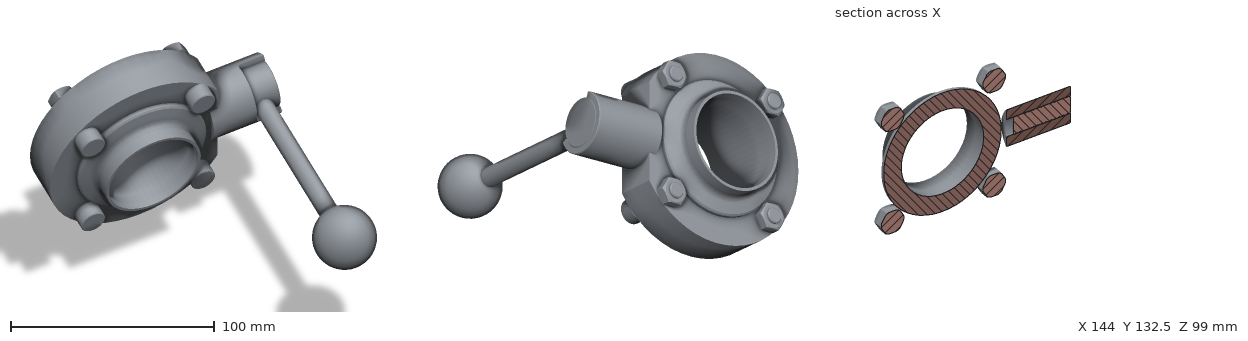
import cadquery as cq
import math


HALF_LENGTH = 25.9
BORE_DIAMETER = 48.5
PIPE_DIAMETER = 51.5
JOINT_X = -0.3
FLANGE_DIAMETER = 99.0
FLANGE_SPAN = 22.3
FLANGE_FACE = FLANGE_SPAN / 2
FLAT_Y = 42.0

RING_DIAMETER = 70.0
RING_OUT = 14.1
RING_CHAMFER = 0.9
CONE_ANGLE = 15.0
NECK_FILLET = 3.0

BOLT_DIAMETER = 8.0
BOLT_TIP = 18.9
BOLT_TIP_CHAMFER = 0.6
HEAD_DIAMETER = 13.0
HEAD_OUT = 19.0
HEAD_CHAMFER = 0.5
NUT_FLATS = 13.0
NUT_CORNERS = NUT_FLATS / math.cos(math.pi / 6)
NUT_OUT = 17.4
NUT_FACE_DIAMETER = 12.0
NUT_CHAMFER_ANGLE = 30.0
HUB_SIDE_BOLT = 30.7
FAR_BOLT_Y = 29.5
FAR_BOLT_Z = 30.1
BOLT_PLACES = [
    (HUB_SIDE_BOLT, HUB_SIDE_BOLT),
    (HUB_SIDE_BOLT, -HUB_SIDE_BOLT),
    (-FAR_BOLT_Y, FAR_BOLT_Z),
    (-FAR_BOLT_Y, -FAR_BOLT_Z),
]

HUB_DIAMETER = 32.0
HUB_BOTTOM = 37.9
HUB_TOP = 76.0
TOP_CHAMFER = 0.5
WINDOW_FLOOR = 61.5
WINDOW_CORNER = 1.9
WINDOW_MARGIN = 23.2

CORE_DIAMETER = 25.3
ROD_DIAMETER = 10.0
LEVER_Y = 67.0
BALL_DIAMETER = 32.0
BALL_X = 102.1


def cylinder_x(diameter, start_x, end_x, y=0, z=0):
    """Cylinder parallel to the X axis between two X positions."""
    disc = cq.Workplane("YZ", origin=(start_x, y, z)).circle(diameter / 2)
    return disc.extrude(end_x - start_x)


def cylinder_y(diameter, start_y, end_y):
    """Cylinder about the Y axis between two Y positions."""
    disc = cq.Workplane("XZ", origin=(0, start_y, 0)).circle(diameter / 2)
    return disc.extrude(start_y - end_y)


def make_flange(joint_x):
    """Flange on the +X side of joint_x, with its ring, pipe end and flat."""
    pipe_radius = PIPE_DIAMETER / 2
    ring_radius = RING_DIAMETER / 2
    cone_radius = ring_radius - RING_CHAMFER
    neck_x = RING_OUT + (cone_radius - pipe_radius) * math.tan(math.radians(CONE_ANGLE))
    profile = [
        (joint_x, BORE_DIAMETER / 2),
        (HALF_LENGTH, BORE_DIAMETER / 2),
        (HALF_LENGTH, pipe_radius),
        (neck_x, pipe_radius),
        (RING_OUT, cone_radius),
        (RING_OUT - RING_CHAMFER, ring_radius),
        (FLANGE_FACE, ring_radius),
        (FLANGE_FACE, FLANGE_DIAMETER / 2),
        (joint_x, FLANGE_DIAMETER / 2),
    ]
    flange = cq.Workplane("XY").polyline(profile).close().revolve(360, (0, 0, 0), (1, 0, 0))
    neck_circle = cq.selectors.NearestToPointSelector((neck_x, 0, 0))
    flange = flange.edges(neck_circle).fillet(NECK_FILLET)
    above_flat = cq.Workplane("XY").box(
        FLANGE_SPAN, FLANGE_DIAMETER, FLANGE_DIAMETER, centered=(True, False, True)
    )
    return flange.cut(above_flat.translate((0, FLAT_Y, 0)))


def make_nut(y, z):
    """Hexagonal nut against the -X flange face, its corners chamfered at both ends."""
    hexagon = cq.Workplane("YZ", origin=(-NUT_OUT, y, z)).polygon(6, NUT_CORNERS)
    nut = hexagon.extrude(NUT_OUT - FLANGE_FACE)
    chamfer_width = (NUT_CORNERS - NUT_FACE_DIAMETER) / 2
    chamfer_depth = chamfer_width * math.tan(math.radians(NUT_CHAMFER_ANGLE))
    envelope = cylinder_x(NUT_CORNERS, -NUT_OUT, -FLANGE_FACE, y, z)
    return nut.intersect(envelope.faces("|X").edges().chamfer(chamfer_depth, chamfer_width))


def make_bolt(y, z):
    """Cylindrical-headed bolt together with its nut."""
    shank = cylinder_x(BOLT_DIAMETER, -BOLT_TIP, FLANGE_FACE, y, z)
    shank = shank.faces("<X").chamfer(BOLT_TIP_CHAMFER)
    head = cylinder_x(HEAD_DIAMETER, FLANGE_FACE, HEAD_OUT, y, z)
    head = head.faces(">X").chamfer(HEAD_CHAMFER)
    return shank.union(head).union(make_nut(y, z))


def make_bolted_flange():
    """+X flange, in one piece with the bolts and nuts."""
    flange = make_flange(JOINT_X)
    for y, z in BOLT_PLACES:
        flange = flange.union(make_bolt(y, z))
    return flange


def make_plain_flange():
    """-X flange, with a hole for each bolt."""
    flange = make_flange(-JOINT_X).mirror("YZ")
    for y, z in BOLT_PLACES:
        flange = flange.cut(cylinder_x(BOLT_DIAMETER, -FLANGE_FACE, JOINT_X, y, z))
    return flange


def make_window_cutter():
    """Wedge about the hub axis from the window floor upward, with rounded floor corners."""
    reach = HUB_DIAMETER
    margin = math.radians(WINDOW_MARGIN)
    long_side = reach * math.cos(margin)
    short_side = reach * math.sin(margin)
    outline = [(0, 0), (long_side, -short_side), (reach, reach), (-short_side, long_side)]
    plane = cq.Workplane("XZ", origin=(0, WINDOW_FLOOR, 0))
    wedge = plane.polyline(outline).close().extrude(WINDOW_FLOOR - HUB_TOP)
    lower_corner = cq.selectors.NearestToPointSelector((long_side / 2, WINDOW_FLOOR, -short_side / 2))
    upper_corner = cq.selectors.NearestToPointSelector((-short_side / 2, WINDOW_FLOOR, long_side / 2))
    return wedge.edges(lower_corner + upper_corner).fillet(WINDOW_CORNER)


def make_hub():
    """Bored sleeve whose lower end straddles the flanges."""
    hub = cylinder_y(HUB_DIAMETER, HUB_BOTTOM, HUB_TOP).faces(">Y").chamfer(TOP_CHAMFER)
    hub = hub.cut(cylinder_y(CORE_DIAMETER, HUB_BOTTOM, HUB_TOP))
    flange_slot = cq.Workplane("XY").box(
        FLANGE_SPAN, FLAT_Y - HUB_BOTTOM, HUB_DIAMETER, centered=(True, False, True)
    )
    hub = hub.cut(flange_slot.translate((0, HUB_BOTTOM, 0)))
    return hub.cut(make_window_cutter())


def make_lever():
    """Core that turns in the hub, with the rod that carries the ball."""
    core = cylinder_y(CORE_DIAMETER, FLAT_Y, HUB_TOP).faces(">Y").chamfer(TOP_CHAMFER)
    return core.union(cylinder_x(ROD_DIAMETER, 0, BALL_X, LEVER_Y))


def make_ball():
    """Ball with a blind socket that takes the rod end at its centre."""
    ball = cq.Workplane("YZ").sphere(BALL_DIAMETER / 2).translate((BALL_X, LEVER_Y, 0))
    return ball.cut(cylinder_x(ROD_DIAMETER, BALL_X - BALL_DIAMETER, BALL_X, LEVER_Y))


bolted_flange = make_bolted_flange()
plain_flange = make_plain_flange()
hub = make_hub()
lever = make_lever()
ball = make_ball()

result = cq.Compound.makeCompound(
    [bolted_flange.val(), plain_flange.val(), hub.val(), lever.val(), ball.val()]
)